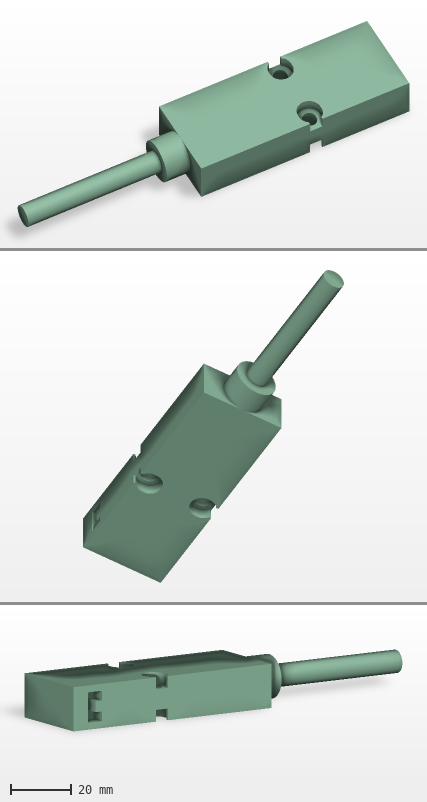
import cadquery as cq

total_length = 137.0
housing_width = 30.0
housing_height = 15.0
housing_length = 78.1

collar_diameter = housing_height
collar_length = 8.9
cable_diameter = 7.8
cable_length = total_length - housing_length - collar_length

hole_to_far_end = 35.0
hole_to_side = 4.7
hole_width = 4.7
hole_length = 5.5
counterbore_width = 8.4
counterbore_length = 9.2
counterbore_depth = 4.0

pocket_to_far_end = 5.8
pocket_length = 5.3
pocket_height = 10.3
pocket_depth = 5.1
tongue_length = 2.5
tongue_height = 3.7

far_end = housing_length
side = housing_width / 2
top = housing_height / 2
hole_x = side - hole_to_side
hole_y = far_end - hole_to_far_end


def make_housing():
    return cq.Workplane("XY").box(housing_width, housing_length, housing_height).translate(
        (0, housing_length / 2, 0)
    )


def make_cylinder_along_cable(diameter, length):
    """Cylinder running from the housing's cable end toward -Y."""
    return cq.Workplane("XZ").circle(diameter / 2).extrude(length)


def make_slots(length, width, bottom, height):
    """The two mounting hole slots, one near each side of the housing."""
    return (
        cq.Workplane("XY", origin=(0, hole_y, bottom))
        .pushPoints([(-hole_x, 0), (hole_x, 0)])
        .slot2D(length, width)
        .extrude(height)
    )


def make_side_notches(bottom):
    """Straight notches from the two hole centres out through the sides."""
    return (
        cq.Workplane("XY", origin=(0, hole_y, bottom))
        .pushPoints([(-side + hole_to_side / 2, 0), (side - hole_to_side / 2, 0)])
        .rect(hole_to_side, hole_width)
        .extrude(counterbore_depth)
    )


def make_pocket():
    pocket_y = far_end - pocket_to_far_end - pocket_length / 2
    tongue_y = far_end - pocket_to_far_end - pocket_length + tongue_length / 2
    pocket_x = -side + pocket_depth / 2
    pocket = cq.Workplane("XY").box(pocket_depth, pocket_length, pocket_height)
    tongue = cq.Workplane("XY").box(pocket_depth, tongue_length, tongue_height)
    return pocket.translate((pocket_x, pocket_y, 0)).cut(tongue.translate((pocket_x, tongue_y, 0)))


result = make_housing()
result = result.union(make_cylinder_along_cable(collar_diameter, collar_length))
result = result.union(make_cylinder_along_cable(cable_diameter, collar_length + cable_length))

result = result.cut(make_slots(hole_length, hole_width, -top, housing_height))
for bottom in (-top, top - counterbore_depth):
    result = result.cut(make_slots(counterbore_length, counterbore_width, bottom, counterbore_depth))
    result = result.cut(make_side_notches(bottom))

result = result.cut(make_pocket())